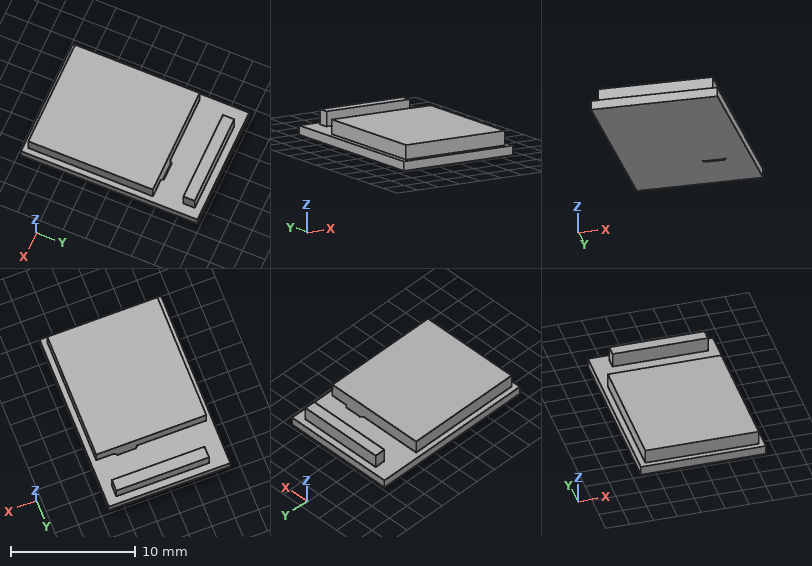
import cadquery as cq

board_width = 10.5
board_length = 15.5
board_thickness = 0.79

cover_width = 9.5
cover_length = 10.93
cover_height = 1.21
cover_front_gap = 0.45
cover_side_gap = (board_width - cover_width) / 2
cover_back = cover_front_gap + cover_length

antenna_length = 8.0
antenna_depth = 0.99
antenna_height = 1.25
antenna_side_gap = 1.61
antenna_back_gap = 0.62
antenna_front = board_length - antenna_back_gap - antenna_depth

opening_left = 6.48
opening_width = 1.92
opening_depth = 0.2
opening_corner_chamfer = 0.19


def block(x, y, z, width, length, height):
    """Box placed by its left, front, bottom corner."""
    return cq.Workplane("XY").box(width, length, height, centered=False).translate((x, y, z))


board = block(0, 0, 0, board_width, board_length, board_thickness)

opening = block(opening_left, cover_back, 0, opening_width, opening_depth, board_thickness)
opening = opening.faces(">Y").edges("|Z").chamfer(opening_corner_chamfer)

cover = block(
    cover_side_gap, cover_front_gap, board_thickness,
    cover_width, cover_length, cover_height,
)
antenna = block(
    antenna_side_gap, antenna_front, board_thickness,
    antenna_length, antenna_depth, antenna_height,
)

result = board.cut(opening).union(cover).union(antenna)